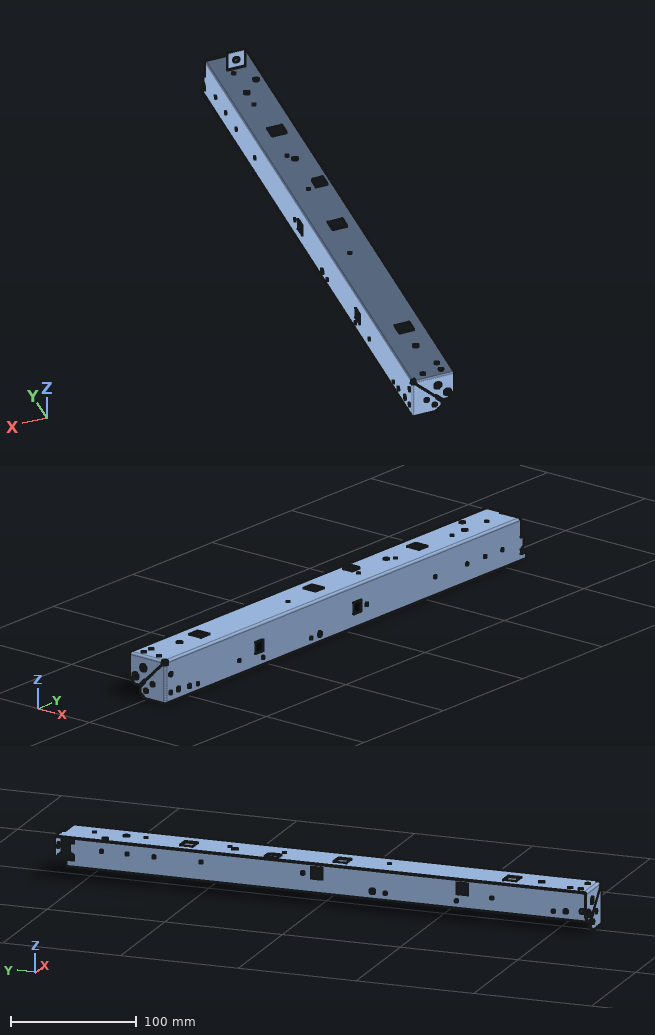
import cadquery as cq
import math

width = 37.0
length = 454.8
height = 36.0
sheet = 1.0
bend_inside = sheet
bend_outside = bend_inside + sheet

plate_end = 448.5
rear_flange_face = 452.0
rear_flange_width = 15.5
rear_flange_depth = 18.0
overlap = sheet
wall_tab_height = 5.5
bump_top = 16.5
bump_bottom = 24.0
bump_slope = 2.7

corner_relief = 3.5
mitre_gap = 0.25
mitre_mouth_gap = 2.0
mitre_mouth_end = 15.5
flange_reach = 26.0
flange_side = 20.0
flange_slope_end = 5.0

rivet_dia = 2.55
screw_dia = 3.0
pin_dia = 3.5
bolt_dia = 4.0
mount_dia = 4.5
stud_dia = 5.0
access_dia = 6.0

plate_rivet_x = 20.5
plate_window_x = 16.0
plate_holes = [
    (rivet_dia, [(plate_rivet_x, y) for y in (174.5, 263.8, 310.0, 381.5, 425.0)]),
    (pin_dia, [(8.5, 7.7), (24.0, 7.7), (8.5, 17.0)]),
    (mount_dia, [(plate_window_x, 43.5), (plate_window_x, 304.2), (7.0, 411.0), (20.0, 398.0)]),
]
plate_window = (12.5, 11.0)
plate_windows = [(plate_window_x, y) for y in (68.5, 213.0, 343.5)]
notched_window = (9.5, 11.0)
notched_window_centre = (9.0, 269.0)
notched_window_chamfer = 2.0

wall_upper_row = 20.5
wall_lower_row = 30.0
wall_holes = [
    (rivet_dia, [(y, wall_upper_row) for y in (340.5, 380.5, 403.5, 425.0)]),
    (rivet_dia, [(y, wall_lower_row) for y in (41.5, 123.5, 184.0)]),
    (rivet_dia, [(93.5, 24.5)]),
    (screw_dia, [(254.0, wall_upper_row), (7.5, 28.0)]),
    (pin_dia, [(7.5, 12.7), (31.0, 29.0)]),
    (bolt_dia, [(17.0, 27.7)]),
    (mount_dia, [(195.0, 29.5)]),
]
wall_window = (9.5, 9.5)
wall_windows = [(y, 19.5) for y in (118.5, 242.5)]

front_holes = [
    (access_dia, [(14.0, 10.5), (6.0, 19.0)]),
    (pin_dia, [(23.5, 22.5), (17.0, 29.0)]),
]
rear_holes = [(stud_dia, [(7.7, 10.0)])]


def block(x, y, z):
    """Box between the given (low, high) limits along each axis."""
    size = [high - low for low, high in (x, y, z)]
    return cq.Workplane("XY").box(*size, centered=False).translate((x[0], y[0], z[0]))


def at_depth(points):
    """Turn the depth of each (position, depth) point into a Z coordinate."""
    return [(position, -depth) for position, depth in points]


def bent_sheet():
    """Top plate, side wall and front face joined by rounded bends."""

    def rounded_block(inset, radius):
        body = block((0, width - inset), (inset, plate_end), (-height, -inset))
        return body.edges(">X and >Z or >X and <Y or >Z and <Y").fillet(radius)

    return rounded_block(0, bend_outside).cut(rounded_block(sheet, bend_inside))


def front_prism(points):
    """Prism through the front flanges and their bends from an (X, depth) outline."""
    return cq.Workplane("XZ").polyline(at_depth(points)).close().extrude(-bend_outside)


def mitre_slot(gap, x_end):
    """Slot of the given width along the mitre line, from X = 0 to x_end."""
    half = gap / math.sqrt(2)
    return front_prism([
        (0, width - half),
        (0, width + half),
        (x_end, width - x_end + half),
        (x_end, width - x_end - half),
    ])


def front_trim():
    """Material outside the two front flanges, along the mitre and at the corner."""
    below_plate_flange = [
        (0, flange_side),
        (flange_slope_end, flange_reach),
        (width - flange_reach, flange_reach),
        (0, width),
    ]
    beside_wall_flange = [(width - depth, width - x) for x, depth in below_plate_flange]
    trim = front_prism(below_plate_flange).union(front_prism(beside_wall_flange))
    trim = trim.union(mitre_slot(mitre_gap, width))
    trim = trim.union(mitre_slot(mitre_mouth_gap, mitre_mouth_end))
    return trim.union(block((width - corner_relief, width), (0, corner_relief), (-corner_relief, 0)))


def rear_flange():
    """Short flange turned down from the rear end of the top plate."""

    def rounded_block(inset, radius):
        y_limits = (plate_end - overlap, rear_flange_face - inset)
        body = block((0, rear_flange_width), y_limits, (-rear_flange_depth, -inset))
        return body.edges(">Y and >Z").fillet(radius)

    return rounded_block(0, bend_outside).cut(rounded_block(sheet, bend_inside))


def wall_tongues():
    """Locating tab and sloped bump on the rear edge of the side wall."""
    root = plate_end - overlap
    tab = block((width - sheet, width), (root, length), (-height, wall_tab_height - height))
    bump_outline = [
        (root, bump_top),
        (rear_flange_face, bump_top),
        (rear_flange_face, bump_bottom),
        (plate_end, bump_bottom + bump_slope),
        (root, bump_bottom + bump_slope),
    ]
    wall = cq.Workplane("YZ", origin=(width - sheet, 0, 0))
    return tab.union(wall.polyline(at_depth(bump_outline)).close().extrude(sheet))


def drilled(part, plane, holes):
    """Cut holes one sheet thickness deep along the plane's normal."""
    for diameter, centres in holes:
        part = part.cut(plane.pushPoints(centres).circle(diameter / 2).extrude(sheet))
    return part


def drilled_at_depth(part, plane, holes):
    """Cut holes whose centres are given as (position, depth)."""
    return drilled(part, plane, [(diameter, at_depth(centres)) for diameter, centres in holes])


def with_plate_openings(part):
    plane = cq.Workplane("XY", origin=(0, 0, -sheet))
    notched = plane.pushPoints([notched_window_centre]).rect(*notched_window).extrude(sheet)
    part = part.cut(notched.edges("|Z and >X and >Y").chamfer(notched_window_chamfer))
    part = part.cut(plane.pushPoints(plate_windows).rect(*plate_window).extrude(sheet))
    return drilled(part, plane, plate_holes)


def with_wall_openings(part):
    plane = cq.Workplane("YZ", origin=(width - sheet, 0, 0))
    part = part.cut(plane.pushPoints(at_depth(wall_windows)).rect(*wall_window).extrude(sheet))
    return drilled_at_depth(part, plane, wall_holes)


def with_flange_holes(part):
    front = cq.Workplane("XZ", origin=(0, sheet, 0))
    rear = cq.Workplane("XZ", origin=(0, rear_flange_face, 0))
    return drilled_at_depth(drilled_at_depth(part, front, front_holes), rear, rear_holes)


rail = bent_sheet().cut(front_trim()).union(rear_flange()).union(wall_tongues())
result = with_flange_holes(with_wall_openings(with_plate_openings(rail)))